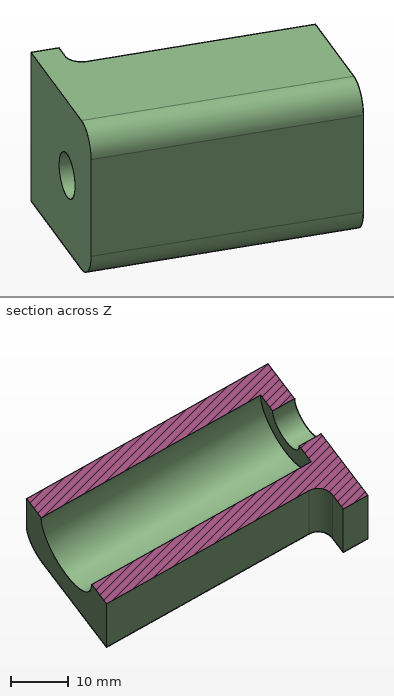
import cadquery as cq

width = 31.85
length = 50.05
height = 29.2

foot_reach = 6.35
foot_thickness = 5.15
foot_fillet = 3.0

corner_radius = 5.1

bore_x = 19.1
front_bore_diameter = 8.4
rear_bore_diameter = 16.0
step_depth = 4.6


def l_shaped_block():
    """Block with a foot at its front left, extruded upward."""
    return (
        cq.Workplane("XY")
        .moveTo(0, 0)
        .lineTo(width, 0)
        .lineTo(width, length)
        .lineTo(foot_reach, length)
        .lineTo(foot_reach, foot_thickness + foot_fillet)
        .radiusArc((foot_reach - foot_fillet, foot_thickness), foot_fillet)
        .lineTo(0, foot_thickness)
        .close()
        .extrude(height)
    )


def bore(diameter, start):
    """Cylinder at mid height, running along Y from start to the back face."""
    return (
        cq.Workplane("XZ", origin=(bore_x, start, height / 2))
        .circle(diameter / 2)
        .extrude(start - length)
    )


block = l_shaped_block().faces(">X").edges("|Y").fillet(corner_radius)
front_bore = bore(front_bore_diameter, 0)
rear_bore = bore(rear_bore_diameter, step_depth)
result = block.cut(front_bore).cut(rear_bore)